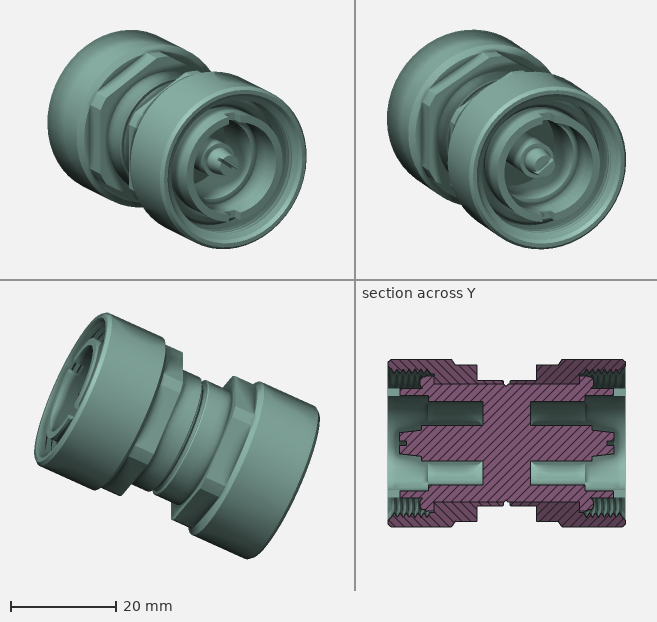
import cadquery as cq
import math

length = 45.35
half_length = length / 2

nut_radius = 16.0
nut_face_radius = 15.45
nut_front_chamfer = 0.7
nut_back_radius = 14.85
nut_back_chamfer = 0.8
hex_front = 9.7
hex_back = 5.6
hex_across_flats = 27.1
hex_corner_radius = 14.95
barrel_radius = 11.95
nut_end = 0.6
barrel_chamfer = 0.2

mouth_radius = 14.7
thread_root_radius = 14.1
thread_crest_radius = 13.15
mouth_depth = 0.7
thread_pitch = 1.15
thread_flank = thread_pitch / 2
thread_groove_count = 6
nut_floor = 13.85

body_radius = 11.3
flange_radius = 12.92
flange_face = 15.55
shoulder_outer_radius = 12.7
shoulder_face = 16.55
shoulder_fillet = 0.75
contact_outer_radius = 10.48
contact_inner_radius = 9.02
contact_face = 22.55
contact_step = 14.95
inner_bore_radius = 7.95
bore_floor = 4.55
contact_slot_width = 2.45
contact_slot_depth = 2.18

groove_centre = -0.15
groove_half_width = 0.45
groove_depth = 0.45

pin_boss_radius = 3.4
pin_boss_face = 16.33
pin_base_radius = 2.55
pin_tip_radius = 2.05
pin_tip = 20.5
slit_width = 0.6
slit_depth = 1.35
slit_angle = 37.0

TURN = ((0, 0, 0), (1, 0, 0))


def turned(profile):
    """Solid of revolution about the X axis from (x, radius) points."""
    return cq.Workplane("XZ").polyline(profile).close().revolve(360, *TURN)


def cylinder(radius, start, end):
    return cq.Workplane("YZ").workplane(offset=start).circle(radius).extrude(end - start)


def at_other_end(shape):
    return shape.mirror("YZ")


def nut_hexagon():
    """Hexagon with flats facing +Y and -Y, its corners turned down to a cylinder."""
    across_corners = hex_across_flats / math.cos(math.pi / 6)
    hexagon = (
        cq.Workplane("YZ")
        .workplane(offset=-hex_front)
        .polygon(6, across_corners)
        .extrude(hex_front - hex_back)
        .rotate(*TURN, 90)
    )
    return hexagon.intersect(cylinder(hex_corner_radius, -hex_front, -hex_back))


def nut_cavity():
    """Threaded opening: mouth cone, V grooves, then the smooth bore round the core."""
    profile = [
        (-half_length, 0),
        (-half_length, mouth_radius),
        (-half_length + mouth_depth, thread_root_radius),
    ]
    first_crest = -half_length + mouth_depth + thread_flank
    for groove in range(thread_groove_count):
        crest = first_crest + groove * thread_pitch
        profile.append((crest, thread_crest_radius))
        profile.append((crest + thread_flank, thread_root_radius))
    last_crest = first_crest + thread_groove_count * thread_pitch
    profile += [
        (last_crest, thread_crest_radius),
        (-nut_floor, thread_crest_radius),
        (-nut_floor, body_radius),
        (-nut_end, body_radius),
        (-nut_end, 0),
    ]
    return turned(profile)


def coupling_nut():
    """Nut at the -X end."""
    ring = turned([
        (-half_length, 0),
        (-half_length, nut_face_radius),
        (-half_length + nut_front_chamfer, nut_radius),
        (-hex_front - nut_back_chamfer, nut_radius),
        (-hex_front, nut_back_radius),
        (-hex_front, 0),
    ])
    barrel = turned([
        (-hex_front, 0),
        (-hex_front, barrel_radius),
        (-nut_end - barrel_chamfer, barrel_radius),
        (-nut_end, barrel_radius - barrel_chamfer),
        (-nut_end, 0),
    ])
    return ring.union(nut_hexagon()).union(barrel).cut(nut_cavity())


def sealing_shoulder():
    """Flange resting on the nut floor, with a raised ring whose front edges are rounded."""
    flange = cylinder(flange_radius, -flange_face, -nut_floor)
    contact_hole = cylinder(contact_outer_radius, -shoulder_face, -nut_floor)
    ring = cylinder(shoulder_outer_radius, -shoulder_face, -nut_floor).cut(contact_hole)
    ring = ring.faces("<X").edges().fillet(shoulder_fillet)
    return flange.cut(contact_hole).union(ring)


def outer_contact():
    """Contact tube with a stepped bore and two slots across its open end."""
    tube = cylinder(contact_outer_radius, -contact_face, -bore_floor)
    tube = tube.cut(cylinder(contact_inner_radius, -contact_face, -contact_step))
    tube = tube.cut(cylinder(inner_bore_radius, -contact_step, -bore_floor))
    slots = cq.Workplane("XY").box(
        contact_slot_depth, contact_slot_width, 2 * contact_outer_radius, centered=(False, True, True)
    )
    return tube.cut(slots.translate((-contact_face, 0, 0)))


def centre_pin():
    """Tapered pin on a round boss, its tip split by a slit."""
    pin = turned([
        (-pin_tip, 0),
        (-pin_tip, pin_tip_radius),
        (-pin_boss_face, pin_base_radius),
        (-pin_boss_face, pin_boss_radius),
        (-bore_floor, pin_boss_radius),
        (-bore_floor, 0),
    ])
    slit = (
        cq.Workplane("XY")
        .box(slit_depth, 2 * pin_base_radius, slit_width, centered=(False, True, True))
        .translate((-pin_tip, 0, 0))
        .rotate(*TURN, -slit_angle)
    )
    return pin.cut(slit)


def connector_core():
    """Body with a V groove, carrying the same contacts and shoulder at both ends."""
    core = turned([
        (-nut_floor, 0),
        (-nut_floor, body_radius),
        (groove_centre - groove_half_width, body_radius),
        (groove_centre, body_radius - groove_depth),
        (groove_centre + groove_half_width, body_radius),
        (nut_floor, body_radius),
        (nut_floor, 0),
    ])
    bore = cylinder(inner_bore_radius, -nut_floor, -bore_floor)
    core = core.cut(bore).cut(at_other_end(bore))
    end = sealing_shoulder().union(outer_contact()).union(centre_pin())
    return core.union(end).union(at_other_end(end))


core = connector_core()
left_nut = coupling_nut()
nuts = [left_nut, at_other_end(left_nut)]

result = cq.Compound.makeCompound([core.val(), *[nut.val() for nut in nuts]])